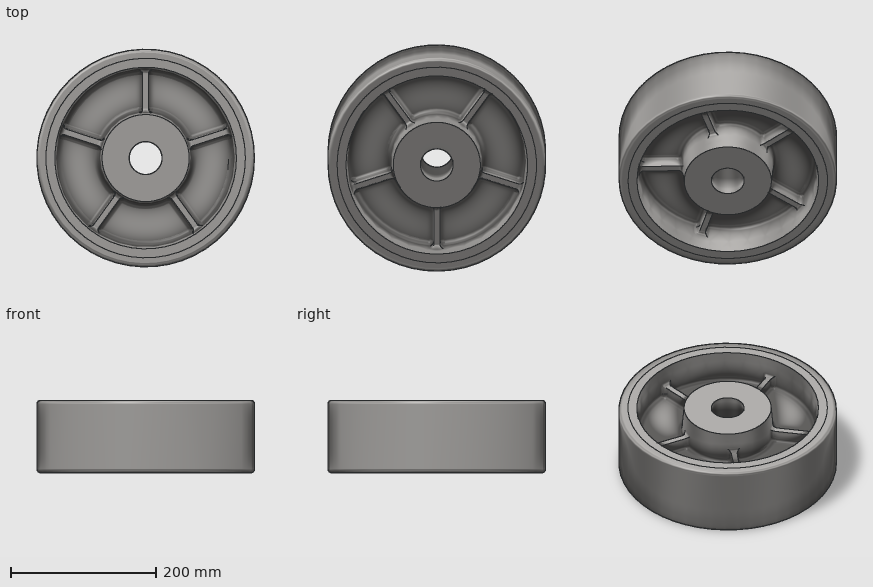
import cadquery as cq
import math

outer_radius = 150.0
width = 100.0
half_width = width / 2

tyre_inner_radius = 137.5
tyre_edge_fillet = 5.0

rim_inner_radius = 125.0
hub_radius = 60.0
bore_radius = 22.5
web_thickness = 10.0
draft_angle = 5.0
web_fillet = 7.5

rib_count = 5
rib_top_width = 8.0
rib_height = 16.2
rib_fillet = 6.0

web_top = web_thickness / 2
rib_top = web_top + rib_height
draft_slope = math.tan(math.radians(draft_angle))
draft_run = (half_width - web_top) * draft_slope
rim_root_radius = rim_inner_radius - draft_run
hub_root_radius = hub_radius + draft_run
rib_base_half_width = rib_top_width / 2 + rib_top * draft_slope
rib_pitch = 360.0 / rib_count
rib_start = (bore_radius + hub_radius) / 2
rib_end = (rim_inner_radius + tyre_inner_radius) / 2


def make_tyre():
    """Plain cylindrical tyre with rounded outer edges."""
    ring = cq.Workplane("XY").circle(outer_radius).circle(tyre_inner_radius).extrude(width)
    ring = ring.translate((0, 0, -half_width))
    return ring.edges(cq.selectors.RadiusNthSelector(-1)).fillet(tyre_edge_fillet)


def make_half_blank():
    """Upper half of the rim, web and hub, with drafted walls and rounded web corners."""
    profile = [
        (bore_radius, 0),
        (tyre_inner_radius, 0),
        (tyre_inner_radius, half_width),
        (rim_inner_radius, half_width),
        (rim_root_radius, web_top),
        (hub_root_radius, web_top),
        (hub_radius, half_width),
        (bore_radius, half_width),
    ]
    blank = cq.Workplane("XZ").polyline(profile).close().revolve(360, (0, 0, 0), (0, 1, 0))
    web_corners = cq.selectors.BoxSelector(
        (-outer_radius, -outer_radius, web_top / 2), (outer_radius, outer_radius, rib_top)
    )
    return blank.edges(web_corners).fillet(web_fillet)


def make_rib():
    """Rib along +Y with drafted sides, rising from the middle of the web."""
    top_half_width = rib_top_width / 2
    section = [
        (-rib_base_half_width, 0),
        (rib_base_half_width, 0),
        (top_half_width, rib_top),
        (-top_half_width, rib_top),
    ]
    rib = cq.Workplane("XZ", origin=(0, rib_start, 0)).polyline(section).close()
    return rib.extrude(rib_start - rib_end)


def add_filleted_rib(half):
    """Fuse the +Y rib to the blank and round every edge where it meets web, hub and rim."""
    reach = rib_base_half_width + rib_fillet
    rib_region = cq.selectors.BoxSelector(
        (-reach, hub_radius, web_top / 2), (reach, rim_inner_radius, rib_top + rib_fillet)
    )
    ridge_region = cq.selectors.BoxSelector(
        (-reach, hub_root_radius + web_fillet, rib_top - rib_fillet),
        (reach, rim_root_radius - web_fillet, rib_top + rib_fillet),
    )
    return half.union(make_rib()).edges(rib_region - ridge_region).fillet(rib_fillet)


def make_wheel_centre():
    """Rim, ribbed web and bored hub, the same above and below the middle of the web."""
    upper_half = make_half_blank()
    for _ in range(rib_count):
        upper_half = add_filleted_rib(upper_half).rotate((0, 0, 0), (0, 0, 1), rib_pitch)
    return upper_half.union(upper_half.mirror("XY"))


wheel_centre = make_wheel_centre()
tyre = make_tyre()

result = cq.Compound.makeCompound([wheel_centre.val(), tyre.val()])